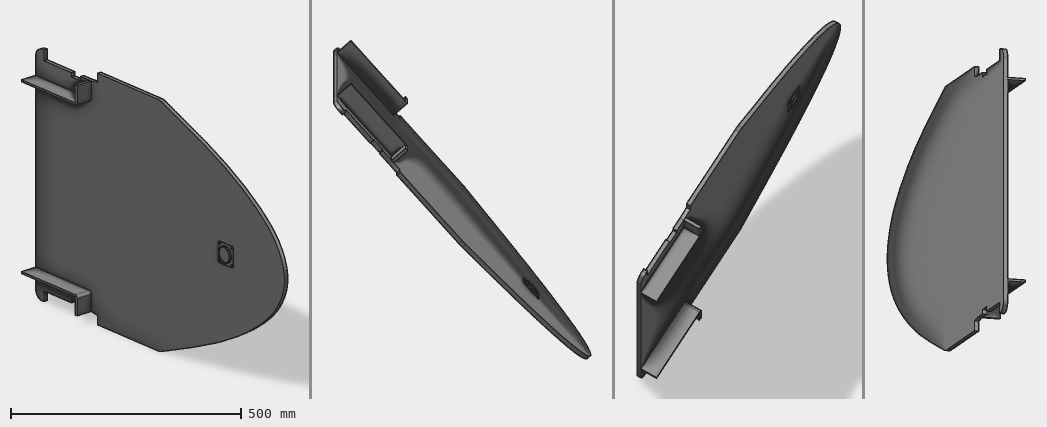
import cadquery as cq

LENGTH = 832.0
WIDTH = 588.0
PLATE_THICKNESS = 10.0
HALF_WIDTH = WIDTH / 2
CORNER_RADIUS = 22.5
SHOULDER_X = 416.0
SHOULDER_RADIUS = 33.0
NOSE_START_SLOPE = -0.4
NOSE_POINTS = [(619.0, 210.0), (699.0, 165.5), (760.0, 122.0), (799.5, 82.0)]

TAB_LENGTH = 28.0
CUTOUT_END_X = 206.0
CUTOUT_DEPTH = 25.0
NOTCH_START_X = 120.0
NOTCH_END_X = 150.0
NOTCH_DEPTH = 10.0
RAMP_HEIGHT = 3.0

TOTAL_DEPTH = 50.0
FLANGE_DEPTH = TOTAL_DEPTH - PLATE_THICKNESS
FLANGE_LENGTH = 186.0
FLANGE_OUTER_Z = HALF_WIDTH - CUTOUT_DEPTH
FLANGE_HEIGHT = 47.5
SIDE_WALL = 5.0
END_WALL = 7.5
FLANGE_CORNER_RADIUS = 7.5

PAD_X = 636.0
PAD_SIZE = 51.0
PAD_HEIGHT = 1.0
PAD_CORNER_RADIUS = 5.0
SCREW_HOLE_RADIUS = 2.5
SCREW_HOLE_SPACING = 41.0
BUTTON_RADIUS = 20.0
BUTTON_HEIGHT = 5.0
DISH_RADIUS = 17.5
DISH_DEPTH = 2.0


def front_plane(height=0.0):
    """Sketch plane on the front face (y = 0), extruding towards -Y."""
    return cq.Workplane("XZ", origin=(0, -height, 0))


def mirrored(shape):
    """The shape together with its mirror image about z = 0."""
    return shape.union(shape.mirror("XY"))


def make_plate():
    lower = [(x, -z) for x, z in reversed(NOSE_POINTS)]
    nose = NOSE_POINTS + [(LENGTH, 0)] + lower + [(SHOULDER_X, -HALF_WIDTH)]
    plate = (
        front_plane()
        .moveTo(0, -HALF_WIDTH)
        .lineTo(0, HALF_WIDTH)
        .lineTo(SHOULDER_X, HALF_WIDTH)
        .spline(nose, tangents=[(1, NOSE_START_SLOPE), (-1, NOSE_START_SLOPE)], includeCurrent=True)
        .close()
        .extrude(-PLATE_THICKNESS)
    )
    plate = plate.edges("|Y").edges("<X").fillet(CORNER_RADIUS)
    return plate.edges("|Y").edges(">X").fillet(SHOULDER_RADIUS)


def make_side_cutout():
    floor = HALF_WIDTH - CUTOUT_DEPTH
    return (
        front_plane()
        .moveTo(TAB_LENGTH, HALF_WIDTH)
        .lineTo(TAB_LENGTH, floor)
        .lineTo(NOTCH_START_X, floor)
        .lineTo(NOTCH_START_X, floor - NOTCH_DEPTH)
        .lineTo(NOTCH_END_X, floor - NOTCH_DEPTH)
        .lineTo(NOTCH_END_X, floor)
        .lineTo(FLANGE_LENGTH - END_WALL, floor)
        .tangentArcPoint((CUTOUT_END_X, floor + RAMP_HEIGHT), relative=False)
        .lineTo(CUTOUT_END_X, HALF_WIDTH)
        .close()
        .extrude(-PLATE_THICKNESS)
    )


def make_flange():
    inner_z = FLANGE_OUTER_Z - FLANGE_HEIGHT
    block = (
        front_plane()
        .moveTo(0, inner_z)
        .lineTo(FLANGE_LENGTH - FLANGE_CORNER_RADIUS, inner_z)
        .radiusArc((FLANGE_LENGTH, inner_z + FLANGE_CORNER_RADIUS), -FLANGE_CORNER_RADIUS)
        .lineTo(FLANGE_LENGTH, FLANGE_OUTER_Z)
        .lineTo(0, FLANGE_OUTER_Z)
        .close()
        .extrude(FLANGE_DEPTH)
    )
    hollow = (
        front_plane()
        .moveTo(0, inner_z + SIDE_WALL)
        .rect(FLANGE_LENGTH - END_WALL, FLANGE_HEIGHT - SIDE_WALL, centered=False)
        .extrude(FLANGE_DEPTH)
    )
    return block.cut(hollow)


def make_pad():
    pad = front_plane().center(PAD_X, 0).rect(PAD_SIZE, PAD_SIZE).extrude(PAD_HEIGHT)
    pad = pad.edges("|Y").fillet(PAD_CORNER_RADIUS)
    screw_holes = (
        front_plane()
        .center(PAD_X, 0)
        .rect(SCREW_HOLE_SPACING, SCREW_HOLE_SPACING, forConstruction=True)
        .vertices()
        .circle(SCREW_HOLE_RADIUS)
        .extrude(PAD_HEIGHT)
    )
    return pad.cut(screw_holes)


def make_button():
    button = front_plane().center(PAD_X, 0).circle(BUTTON_RADIUS).extrude(BUTTON_HEIGHT)
    dish = front_plane(BUTTON_HEIGHT).center(PAD_X, 0).circle(DISH_RADIUS).extrude(-DISH_DEPTH)
    return button.cut(dish)


plate = make_plate().cut(mirrored(make_side_cutout()))
result = plate.union(mirrored(make_flange())).union(make_pad()).union(make_button())